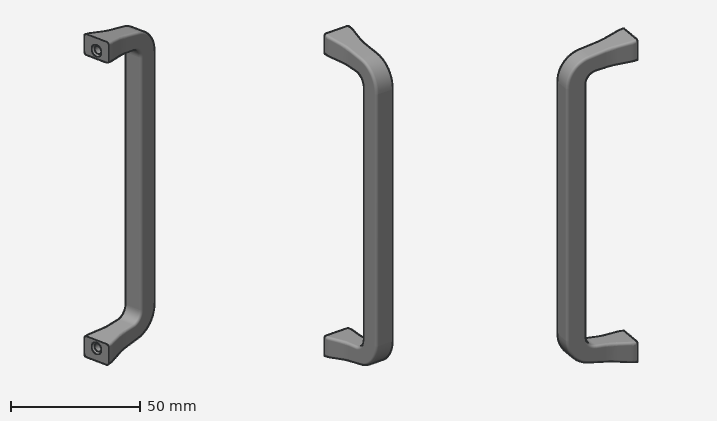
import cadquery as cq
import math

handle_length = 139.0
handle_depth = 30.0
foot_width = 12.5
foot_height = 9.0

grip_width = 8.8
grip_thickness = 8.6
edge_radius = 1.1

outer_bend_radius = 12.0
inner_bend_radius = 4.7
outer_tilt = math.radians(10)
inner_tilt = math.radians(5)

foot_pad_depth = 1.4
flare_angle = math.radians(12.5)
convex_radius = 5.8
concave_radius = 21.3

hole_spacing = 128.0
hole_diameter = 3.3
hole_mouth_diameter = 5.0
hole_depth = 10.0
drill_point_angle = math.radians(118)

mounting_face_y = -handle_depth / 2
grip_back_y = handle_depth / 2
grip_front_y = grip_back_y - grip_thickness


def leg_side(grip_y, foot_z, radius, tilt):
    """Start, middle and end of the bend on one side of the upper leg, then its foot corner.

    The bend is tangent to the grip side at grip_y and to the tilted line from the foot corner.
    """
    center_y = grip_y - radius
    leg_z = foot_z - (center_y - mounting_face_y) * math.tan(tilt)
    center_z = leg_z - radius / math.cos(tilt)
    sweep = math.pi / 2 - tilt
    bend = [
        (center_y + radius * math.cos(angle), center_z + radius * math.sin(angle))
        for angle in (0, sweep / 2, sweep)
    ]
    return bend + [(mounting_face_y, foot_z)]


def mirror_z(points):
    """The same YZ points on the lower leg."""
    return [(y, -z) for y, z in points]


def bow_body():
    """Side outline of the handle, extruded over the full foot width."""
    outer = leg_side(grip_back_y, handle_length / 2, outer_bend_radius, outer_tilt)
    inner = leg_side(grip_front_y, handle_length / 2 - foot_height, inner_bend_radius, inner_tilt)
    low_outer = mirror_z(outer)
    low_inner = mirror_z(inner)
    return (
        cq.Workplane("YZ")
        .moveTo(*outer[0])
        .threePointArc(outer[1], outer[2])
        .lineTo(*outer[3])
        .lineTo(*inner[3])
        .lineTo(*inner[2])
        .threePointArc(inner[1], inner[0])
        .lineTo(*low_inner[0])
        .threePointArc(low_inner[1], low_inner[2])
        .lineTo(*low_inner[3])
        .lineTo(*low_outer[3])
        .lineTo(*low_outer[2])
        .threePointArc(low_outer[1], low_outer[0])
        .close()
        .extrude(foot_width / 2, both=True)
    )


def mirror_x(point):
    """The same XY point on the opposite flank."""
    return (-point[0], point[1])


def width_envelope():
    """Plan outline of the handle, flared towards the feet, extruded over its length."""
    arc_run = math.sin(flare_angle)
    arc_narrowing = 1 - math.cos(flare_angle)
    total_narrowing = (foot_width - grip_width) / 2
    taper_narrowing = total_narrowing - (convex_radius + concave_radius) * arc_narrowing

    pad_end = (foot_width / 2, mounting_face_y + foot_pad_depth)
    taper_start = (pad_end[0] - convex_radius * arc_narrowing, pad_end[1] + convex_radius * arc_run)
    taper_end = (
        taper_start[0] - taper_narrowing,
        taper_start[1] + taper_narrowing / math.tan(flare_angle),
    )
    flare_end = (grip_width / 2, taper_end[1] + concave_radius * arc_run)

    back_corner = (grip_width / 2, grip_back_y)
    foot_corner = (foot_width / 2, mounting_face_y)
    return (
        cq.Workplane("XY")
        .moveTo(*foot_corner)
        .lineTo(*pad_end)
        .radiusArc(taper_start, -convex_radius)
        .lineTo(*taper_end)
        .radiusArc(flare_end, concave_radius)
        .lineTo(*back_corner)
        .lineTo(*mirror_x(back_corner))
        .lineTo(*mirror_x(flare_end))
        .radiusArc(mirror_x(taper_end), concave_radius)
        .lineTo(*mirror_x(taper_start))
        .radiusArc(mirror_x(pad_end), -convex_radius)
        .lineTo(*mirror_x(foot_corner))
        .close()
        .extrude(handle_length / 2, both=True)
    )


def mounting_hole(z):
    """Blind drilled hole with a 45 degree countersink, entering from the mounting face."""
    radius = hole_diameter / 2
    mouth_radius = hole_mouth_diameter / 2
    point_length = radius / math.tan(drill_point_angle / 2)
    return (
        cq.Workplane("XY")
        .polyline(
            [
                (0, 0),
                (mouth_radius, 0),
                (radius, mouth_radius - radius),
                (radius, hole_depth),
                (0, hole_depth + point_length),
            ]
        )
        .close()
        .revolve(360, (0, 0), (0, 1))
        .translate((0, mounting_face_y, z))
    )


body = bow_body().intersect(width_envelope())
result = body.edges("not(|X or |Z)").fillet(edge_radius)
for hole_z in (-hole_spacing / 2, hole_spacing / 2):
    result = result.cut(mounting_hole(hole_z))